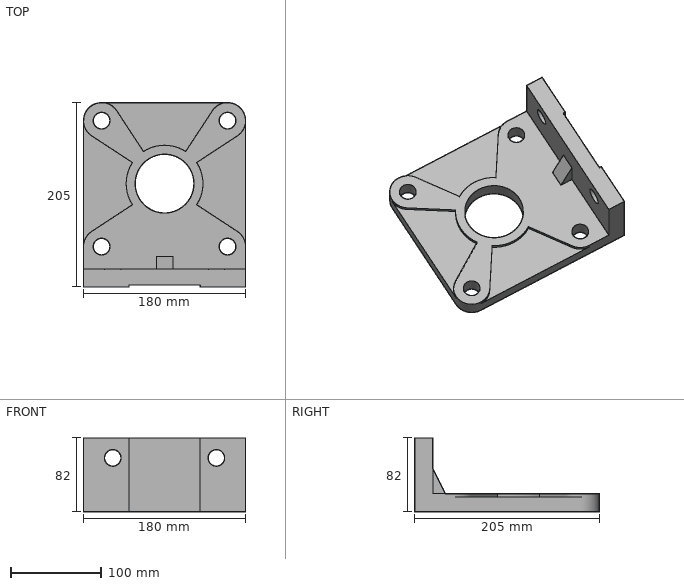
import cadquery as cq
import math

width = 180.0
length = 205.0
height = 82.0
thickness = 20.0

bore_diameter = 65.0
ring_diameter = 85.3
boss_radius = 20.0
mount_hole_diameter = 18.2
bolt_offset = width / 2 - boss_radius
bore_y = length - width / 2

pocket_depth = 3.9

recess_width = 79.0
recess_depth = 2.5
wall_hole_diameter = 18.0
wall_hole_spacing = 115.0
wall_hole_drop = 22.1

rib_width = 18.5
rib_length = 14.1
rib_height = 28.0


def make_bracket():
    """L-shaped body with the two rear corners rounded."""
    plate = cq.Workplane("XY").box(width, length, thickness, centered=(True, False, False))
    plate = plate.edges("|Z and >Y").fillet(boss_radius)
    wall = cq.Workplane("XY").box(width, thickness, height, centered=(True, False, False))
    return plate.union(wall)


def make_rib():
    return (
        cq.Workplane("YZ")
        .moveTo(thickness, thickness)
        .lineTo(thickness + rib_length, thickness)
        .lineTo(thickness, thickness + rib_height)
        .close()
        .extrude(rib_width / 2, both=True)
    )


def make_pocket(rotation):
    """Pocket on the +X side of the bore, turned about the bore axis.

    Its sides lie on lines from the bore center tangent to the bosses.
    """
    boss_distance = math.hypot(bolt_offset, bolt_offset)
    tangent_length = math.sqrt(boss_distance**2 - boss_radius**2)
    side_angle = math.radians(45) - math.asin(boss_radius / boss_distance)
    tangent_x = tangent_length * math.cos(side_angle)
    tangent_y = tangent_length * math.sin(side_angle)

    middle_angle = (math.pi / 2 - side_angle) / 2
    middle_x = bolt_offset + boss_radius * math.cos(middle_angle)
    middle_y = bolt_offset - boss_radius * math.sin(middle_angle)
    edge_x = width / 2

    sector = (
        cq.Workplane("XY")
        .lineTo(tangent_x, -tangent_y)
        .threePointArc((middle_x, -middle_y), (edge_x, -bolt_offset))
        .lineTo(edge_x, bolt_offset)
        .threePointArc((middle_x, middle_y), (tangent_x, tangent_y))
        .close()
        .extrude(pocket_depth)
    )
    ring = cq.Workplane("XY").circle(ring_diameter / 2).extrude(pocket_depth)
    pocket = sector.cut(ring).rotate((0, 0, 0), (0, 0, 1), rotation)
    return pocket.translate((0, bore_y, thickness - pocket_depth))


def make_plate_holes():
    center = cq.Workplane("XY").center(0, bore_y)
    bore = center.circle(bore_diameter / 2).extrude(thickness)
    mounts = (
        center.rect(2 * bolt_offset, 2 * bolt_offset, forConstruction=True)
        .vertices()
        .circle(mount_hole_diameter / 2)
        .extrude(thickness)
    )
    return bore.union(mounts)


def make_wall_holes():
    half_spacing = wall_hole_spacing / 2
    hole_z = height - wall_hole_drop
    return (
        cq.Workplane("XZ")
        .pushPoints([(-half_spacing, hole_z), (half_spacing, hole_z)])
        .circle(wall_hole_diameter / 2)
        .extrude(-thickness)
    )


def make_recess():
    """Shallow full-height channel in the front of the wall."""
    return cq.Workplane("XY").box(recess_width, recess_depth, height, centered=(True, False, False))


result = make_bracket().union(make_rib())
for pocket_rotation in (0, 90, 180):
    result = result.cut(make_pocket(pocket_rotation))
result = result.cut(make_plate_holes()).cut(make_wall_holes()).cut(make_recess())